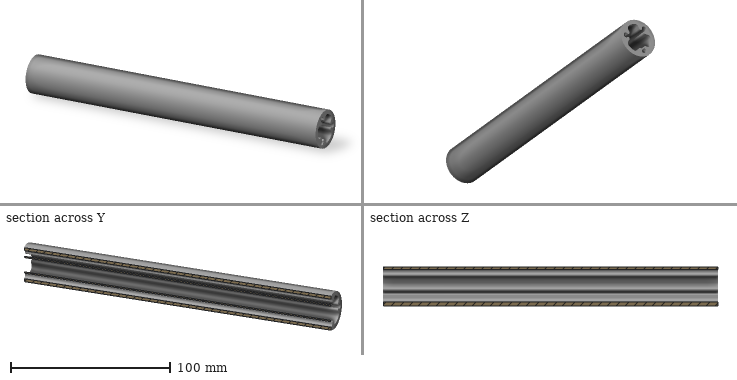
import cadquery as cq
import math

length = 210.0
outer_diameter = 25.0
lobe_reach = 9.7
lobe_width = 8.5
lobe_corner_radius = 2.0
port_center_radius = 8.8
port_diameter = 3.4
neck_width = 2.0
lip_radius = 1.0

repeat_count = 3
repeat_angle = 360 / repeat_count
lip_zone_radius = port_center_radius - port_diameter / 2


def rod(diameter):
    return cq.Workplane("YZ").circle(diameter / 2).extrude(length)


def radial_slot(reach, width):
    """Full-length slot from the tube axis toward +Y."""
    return cq.Workplane("YZ").center(reach / 2, 0).rect(reach, width).extrude(length)


def around_axis(body, angle):
    return body.rotate((0, 0, 0), (1, 0, 0), angle)


def lobe():
    blank = radial_slot(lobe_reach, lobe_width).intersect(rod(2 * lobe_reach))
    floor_corners = cq.selectors.BoxSelector(
        (0, lobe_reach / 2, -lobe_reach), (length, lobe_reach, lobe_reach)
    )
    return blank.edges("|X").edges(floor_corners).fillet(lobe_corner_radius)


def screw_port():
    bore = cq.Workplane("YZ").center(port_center_radius, 0).circle(port_diameter / 2).extrude(length)
    return radial_slot(port_center_radius, neck_width).union(bore)


def near_axis(edge):
    center = edge.Center()
    return math.hypot(center.y, center.z) < lip_zone_radius


cavity = lobe()
for index in range(1, repeat_count):
    cavity = cavity.union(around_axis(lobe(), index * repeat_angle))
cavity = around_axis(cavity, repeat_angle / 2)
for index in range(repeat_count):
    cavity = cavity.union(around_axis(screw_port(), index * repeat_angle))

tube = rod(outer_diameter).cut(cavity)
result = tube.edges("|X").filter(near_axis).fillet(lip_radius)